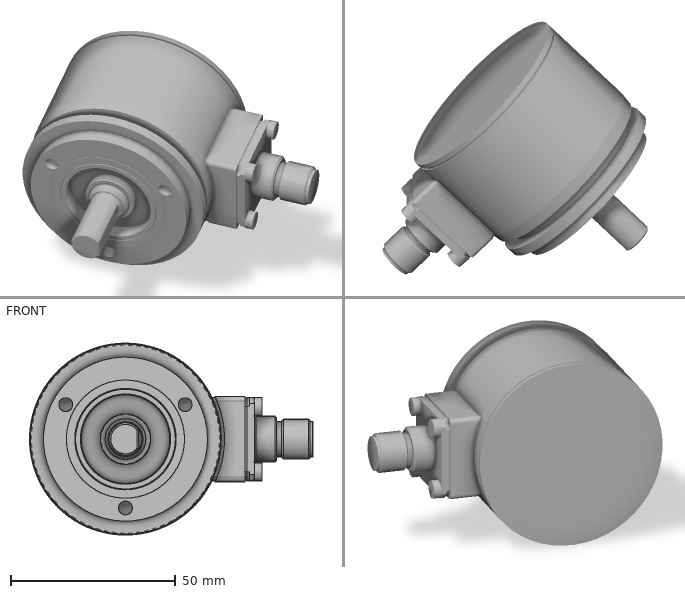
import cadquery as cq
import math

housing_radius = 29.25
housing_rear_y = 46.0
cap_thickness = 1.6
cap_groove_width = 0.7
cap_groove_depth = 0.6
taper_front_y = 10.2
taper_rear_y = 13.9
taper_drop = 0.5
flange_radius = 29.0
flange_front_y = 4.1
flange_rear_y = 7.1
pilot_radius = 25.0

center_pad_radius = 18.0
center_pad_height = 0.15
ring_groove_outer_radius = 15.45
ring_groove_inner_radius = 15.2
ring_groove_depth = 0.3
recess_radius = 13.5
recess_chamfer = 0.25
recess_depth = 3.85
hub_radius = 7.7
hub_height = 2.75
hub_groove_offset = 1.8
hub_groove_width = 0.3
hub_groove_depth = 0.2
collar_radius = 6.2
collar_front_y = -1.2
collar_chamfer = 0.9

shaft_radius = 5.0
shaft_end_y = -21.0
shaft_chamfer = 0.5
flat_x = 4.0
flat_start_y = -3.7
flat_runout_radius = 1.35

hole_radius = 2.1
hole_circle_radius = 21.0
hole_depth = 8.0
hole_angles = (30, 150, 270)
drill_half_angle = 59

box_center_y = 26.3
box_size = 26.0
box_corner_radius = 1.4
box_end_x = 36.5
saddle_radius = 30.2
gasket_inset = 0.25
cover_gasket_inset = 0.4
cover_start_x = 37.0
cover_step_x = 37.75
cover_end_x = 39.3
cover_size = 25.5
cover_base_chamfer = 2.7
cover_top_chamfer = 1.9

screw_radius = 2.8
screw_head_height = 2.35
screw_seat_depth = 0.2

connector_end_x = 57.15
connector_base_radius = 7.0
connector_spigot_radius = 6.8
connector_spigot_end_x = 39.8
connector_base_end_x = 46.1
connector_base_chamfer = 0.6
connector_neck_radius = 5.4
connector_neck_end_x = 47.6
thread_radius = 6.1
thread_end_x = 56.3
thread_chamfer = 0.5
connector_tip_radius = 5.4


def revolve_about_y(points):
    """Solid of revolution about the Y axis from (radius, y) points."""
    return cq.Workplane("XY").polyline(points).close().revolve(360, (0, 0, 0), (0, 1, 0))


def y_cylinder(radius, start_y, end_y):
    """Cylinder on the Y axis between two Y positions."""
    return revolve_about_y([(0, start_y), (radius, start_y), (radius, end_y), (0, end_y)])


def x_block(size, start_x, end_x):
    """Square block along X, centred on the terminal box axis."""
    plane = cq.Workplane("YZ", origin=(start_x, box_center_y, 0))
    return plane.rect(size, size).extrude(end_x - start_x)


def make_housing():
    cap_front_y = housing_rear_y - cap_thickness
    groove_front_y = cap_front_y - cap_groove_width
    groove_radius = housing_radius - cap_groove_depth
    return revolve_about_y([
        (0, 0),
        (pilot_radius, 0),
        (pilot_radius, flange_front_y),
        (flange_radius, flange_front_y),
        (flange_radius, flange_rear_y),
        (pilot_radius, flange_rear_y),
        (pilot_radius, taper_front_y),
        (housing_radius - taper_drop, taper_front_y),
        (housing_radius, taper_rear_y),
        (housing_radius, groove_front_y),
        (groove_radius, groove_front_y),
        (groove_radius, cap_front_y),
        (housing_radius, cap_front_y),
        (housing_radius, housing_rear_y),
        (0, housing_rear_y),
    ])


def add_front_face(body):
    """Raised pad, ring groove, recess and shaft hub on the mounting face."""
    pad_y = -center_pad_height
    body = body.union(y_cylinder(center_pad_radius, pad_y, flange_front_y))
    groove = y_cylinder(ring_groove_outer_radius, pad_y, ring_groove_depth)
    groove = groove.cut(y_cylinder(ring_groove_inner_radius, pad_y, ring_groove_depth))
    recess = revolve_about_y([
        (0, pad_y),
        (recess_radius + recess_chamfer, pad_y),
        (recess_radius, pad_y + recess_chamfer),
        (recess_radius, recess_depth),
        (0, recess_depth),
    ])
    hub_front_y = recess_depth - hub_height
    hub_groove_rear_y = recess_depth - hub_groove_offset
    hub_groove_front_y = hub_groove_rear_y - hub_groove_width
    hub_core_radius = hub_radius - hub_groove_depth
    hub = revolve_about_y([
        (0, hub_front_y),
        (hub_radius, hub_front_y),
        (hub_radius, hub_groove_front_y),
        (hub_core_radius, hub_groove_front_y),
        (hub_core_radius, hub_groove_rear_y),
        (hub_radius, hub_groove_rear_y),
        (hub_radius, flange_rear_y),
        (0, flange_rear_y),
    ])
    collar = revolve_about_y([
        (0, collar_front_y),
        (collar_radius - collar_chamfer, collar_front_y),
        (collar_radius, collar_front_y + collar_chamfer),
        (collar_radius, flange_rear_y),
        (0, flange_rear_y),
    ])
    return body.cut(groove).cut(recess).union(hub).union(collar)


def make_shaft():
    """Round shaft with a chamfered end and a flat on its +X side, ending in an arc."""
    shaft = revolve_about_y([
        (0, shaft_end_y),
        (shaft_radius - shaft_chamfer, shaft_end_y),
        (shaft_radius, shaft_end_y + shaft_chamfer),
        (shaft_radius, flange_rear_y),
        (0, flange_rear_y),
    ])
    arc_center_x = flat_x + flat_runout_radius
    arc_angle = math.acos((arc_center_x - shaft_radius) / flat_runout_radius)

    def runout_point(angle):
        x = arc_center_x - flat_runout_radius * math.cos(angle)
        y = flat_start_y + flat_runout_radius * math.sin(angle)
        return (x, y)

    flat_cut = (
        cq.Workplane("XY")
        .moveTo(flat_x - shaft_chamfer, shaft_end_y)
        .lineTo(flat_x, shaft_end_y + shaft_chamfer)
        .lineTo(flat_x, flat_start_y)
        .threePointArc(runout_point(arc_angle / 2), runout_point(arc_angle))
        .lineTo(shaft_radius, shaft_end_y)
        .close()
        .extrude(shaft_radius, both=True)
    )
    return shaft.cut(flat_cut)


def cut_mounting_holes(body):
    """Blind holes with conical drill tips, spread around the mounting face."""
    tip_y = hole_depth + hole_radius / math.tan(math.radians(drill_half_angle))
    drill = revolve_about_y([(0, 0), (hole_radius, 0), (hole_radius, hole_depth), (0, tip_y)])
    for angle in hole_angles:
        x = hole_circle_radius * math.cos(math.radians(angle))
        z = hole_circle_radius * math.sin(math.radians(angle))
        body = body.cut(drill.translate((x, 0, z)))
    return body


def make_terminal_box():
    """Box saddled on the housing, a gasket on each end and a stepped cover."""
    box = x_block(box_size, 0, box_end_x).edges("|X").fillet(box_corner_radius)
    box = box.cut(y_cylinder(saddle_radius, 0, housing_rear_y))
    gasket = x_block(box_size - 2 * gasket_inset, 0, box_end_x)
    gasket = gasket.edges("|X").fillet(box_corner_radius)
    gasket = gasket.cut(y_cylinder(pilot_radius, 0, housing_rear_y))
    cover_gasket = x_block(box_size - 2 * cover_gasket_inset, box_end_x, cover_start_x)
    cover_gasket = cover_gasket.edges("|X").chamfer(cover_base_chamfer)
    base = x_block(cover_size, cover_start_x, cover_step_x).edges("|X").chamfer(cover_base_chamfer)
    top = x_block(cover_size, cover_step_x, cover_end_x).edges("|X").chamfer(cover_top_chamfer)
    return box.union(gasket).union(cover_gasket).union(base).union(top)


def make_screw_heads():
    spacing = cover_size - 2 * screw_radius
    return (
        cq.Workplane("YZ", origin=(cover_end_x - screw_seat_depth, box_center_y, 0))
        .rect(spacing, spacing, forConstruction=True)
        .vertices()
        .circle(screw_radius)
        .extrude(screw_seat_depth + screw_head_height)
    )


def make_connector():
    """Stepped round connector, revolved about the terminal box axis."""
    profile = [
        (cover_step_x, 0),
        (cover_step_x, connector_spigot_radius),
        (connector_spigot_end_x, connector_spigot_radius),
        (connector_spigot_end_x, connector_base_radius),
        (connector_base_end_x - connector_base_chamfer, connector_base_radius),
        (connector_base_end_x, connector_base_radius - connector_base_chamfer),
        (connector_base_end_x, connector_neck_radius),
        (connector_neck_end_x, connector_neck_radius),
        (connector_neck_end_x + thread_chamfer, thread_radius),
        (thread_end_x - thread_chamfer, thread_radius),
        (thread_end_x, thread_radius - thread_chamfer),
        (thread_end_x, connector_tip_radius),
        (connector_end_x, connector_tip_radius),
        (connector_end_x, 0),
    ]
    plane = cq.Workplane("XY", origin=(0, box_center_y, 0))
    return plane.polyline(profile).close().revolve(360, (0, 0, 0), (1, 0, 0))


result = cut_mounting_holes(add_front_face(make_housing()).union(make_shaft()))
result = result.union(make_terminal_box()).union(make_screw_heads()).union(make_connector())